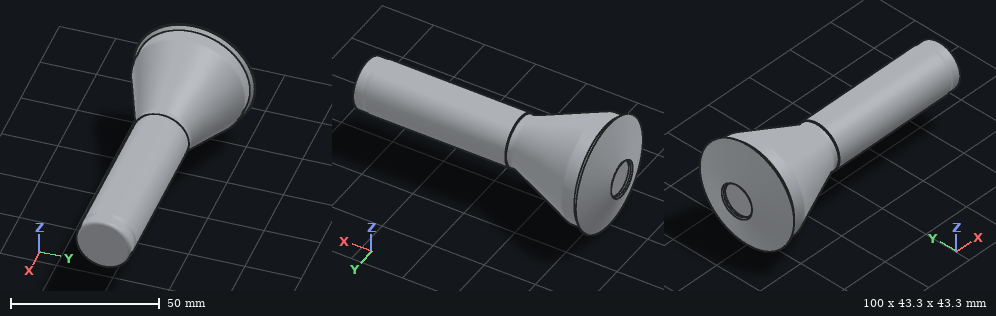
import cadquery as cq
import math


rim_radius = 43.3 / 2
rim_front_x = 4.7
rim_width = 0.5
rim_edge_radius = 21.4
pad_back_x = 6.6
mouth_radius = 7.0
hole_radius = 6.5
mouth_depth = 0.5

boss_front_x = 1.3
band_radius = 40.5 / 2
band_end_x = 11.0
shoulder_round = 3.0
neck_radius = 19.5 / 2
neck_start_x = 38.5
neck_end_x = 39.5
neck_round = 5.0
bar_radius = 20 / 2
bar_start_x = 39.8
bar_end_x = 94.6
tip_radius = neck_radius
tip_start_x = 95.8
tip_round = 1.2
stem_end_x = 100.0

rounds_sum = shoulder_round + neck_round
centers_run = neck_start_x - band_end_x
centers_rise = neck_radius - band_radius + rounds_sum
cone_angle = math.asin(rounds_sum / math.hypot(centers_run, centers_rise)) - math.atan2(
    centers_rise, centers_run
)


def revolve_about_x(profile):
    """Turn an outline of x and radius into a solid about the X axis."""
    return profile.close().revolve(360, (0, 0, 0), (1, 0, 0))


def shoulder_point(angle):
    """Point on the convex round between band and cone, where the wall slopes by the angle."""
    return (
        band_end_x + shoulder_round * math.sin(angle),
        band_radius - shoulder_round * (1 - math.cos(angle)),
    )


def neck_point(angle):
    """Point on the concave round between cone and neck, where the wall slopes by the angle."""
    return (
        neck_start_x - neck_round * math.sin(angle),
        neck_radius + neck_round * (1 - math.cos(angle)),
    )


def tip_point(angle):
    """Point on the round at the end of the tip, where the wall slopes by the angle."""
    return (
        stem_end_x - tip_round * (1 - math.sin(angle)),
        tip_radius - tip_round * (1 - math.cos(angle)),
    )


def make_pad():
    profile = (
        cq.Workplane("XY")
        .moveTo(pad_back_x, hole_radius)
        .lineTo(mouth_depth, hole_radius)
        .lineTo(0, mouth_radius)
        .lineTo(rim_front_x, rim_edge_radius)
        .threePointArc(
            (rim_front_x + rim_width / 2, rim_radius),
            (rim_front_x + rim_width, rim_edge_radius),
        )
        .lineTo(pad_back_x, band_radius)
    )
    return revolve_about_x(profile)


def make_stem():
    profile = (
        cq.Workplane("XY")
        .moveTo(boss_front_x, 0)
        .lineTo(boss_front_x, hole_radius)
        .lineTo(pad_back_x, hole_radius)
        .lineTo(pad_back_x, band_radius)
        .lineTo(band_end_x, band_radius)
        .threePointArc(shoulder_point(cone_angle / 2), shoulder_point(cone_angle))
        .lineTo(*neck_point(cone_angle))
        .threePointArc(neck_point(cone_angle / 2), neck_point(0))
        .lineTo(neck_end_x, neck_radius)
        .lineTo(bar_start_x, bar_radius)
        .lineTo(bar_end_x, bar_radius)
        .lineTo(tip_start_x, tip_radius)
        .lineTo(*tip_point(0))
        .threePointArc(tip_point(math.pi / 4), tip_point(math.pi / 2))
        .lineTo(stem_end_x, 0)
    )
    return revolve_about_x(profile)


pad = make_pad()
stem = make_stem()
result = cq.Compound.makeCompound([pad.val(), stem.val()])